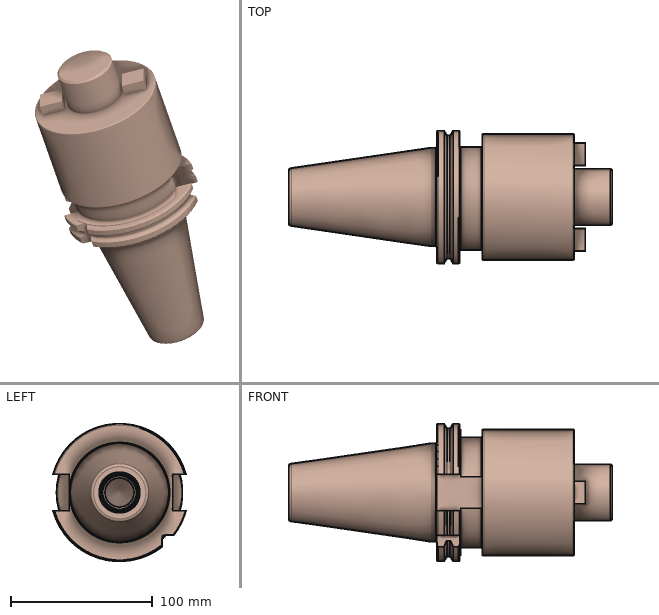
import cadquery as cq
import math

gauge_x = 101.0
relief_start = 102.5
flare_start = 103.8
flange_start = 104.7
flange_end = 120.7
shoulder_end = 121.5
body_start = 136.7
body_end = 201.6
total_length = 228.5

gauge_radius = 35.0
taper_rate = 7 / 24 / 2
small_end_radius = gauge_radius - gauge_x * taper_rate
flange_radius = 48.7
relief_radius = 34.7
flare_end_radius = 35.5
shoulder_radius = 44.3
neck_radius = 39.0
body_radius = 44.5
pilot_radius = 20.1

small_end_fillet = 2.0
flange_fillet = 1.0
body_fillet = 1.0
neck_flare = 0.7
pilot_chamfer = 1.4

groove_center = 113.0
groove_depth = 3.2
groove_floor_width = 2.7
groove_floor_fillet = 0.7
groove_half_angle = 30

slot_width = 25.5
slot_floor_back = 35.5
slot_floor_front = 37.5

notch_offset = 30.2
notch_fillet = 1.1

key_width = 16.0
key_length = 8.0
key_inner = 22.2
key_outer = 38.2

mouth_radius = 14.5
mouth_depth = 3.7
recess_radius = 13.7
recess_depth = 9.0
pilot_bore_radius = 12.8
pilot_bore_depth = 12.1
lead_in_radius = 12.0
lead_in_depth = 13.3
drill_radius = 10.3
drill_depth = 50.3
drill_half_angle = 59


def revolve_about_x(points):
    """Revolve a closed (x, radius) outline around the X axis."""
    outline = cq.Workplane("XY").polyline(points).close()
    return outline.revolve(360, (0, 0, 0), (1, 0, 0))


def box_between(x_range, y_range, z_range):
    """Box spanning the given (low, high) ranges."""
    lows, highs = zip(x_range, y_range, z_range)
    sizes = [high - low for low, high in zip(lows, highs)]
    return cq.Workplane("XY").box(*sizes, centered=False).translate(lows)


def make_taper():
    taper = revolve_about_x([
        (0, 0),
        (0, small_end_radius),
        (gauge_x, gauge_radius),
        (relief_start, gauge_radius),
        (flare_start, relief_radius),
        (flange_start, flare_end_radius),
        (flange_start, 0),
    ])
    return taper.faces("<X").edges().fillet(small_end_fillet)


def make_cylinder(x_start, x_end, radius):
    return cq.Workplane("YZ", origin=(x_start, 0, 0)).circle(radius).extrude(x_end - x_start)


def make_groove():
    floor_radius = flange_radius - groove_depth
    floor_half = groove_floor_width / 2
    mouth_half = floor_half + groove_depth * math.tan(math.radians(groove_half_angle))
    groove = revolve_about_x([
        (groove_center - floor_half, floor_radius),
        (groove_center - mouth_half, flange_radius),
        (groove_center + mouth_half, flange_radius),
        (groove_center + floor_half, floor_radius),
    ])
    floor_edges = groove.edges(cq.selectors.RadiusNthSelector(0))
    return floor_edges.fillet(groove_floor_fillet)


def make_notch():
    flange_range = (flange_start, flange_end)
    outward = (-flange_radius, -notch_offset)
    notch = box_between(flange_range, outward, outward)
    return notch.edges("|X and >Y and >Z").fillet(notch_fillet)


def make_flange():
    flange = make_cylinder(flange_start, flange_end, flange_radius).edges().fillet(flange_fillet)
    half_slot = slot_width / 2
    for y_range in ((slot_floor_back, flange_radius), (-flange_radius, -slot_floor_front)):
        slot = box_between((flange_start, flange_end), y_range, (-half_slot, half_slot))
        flange = flange.cut(slot)
    return flange.cut(make_groove()).cut(make_notch())


def make_neck():
    """Neck and low flange shoulder, with flats level with the slot floors."""
    shoulder = make_cylinder(flange_end, shoulder_end, shoulder_radius)
    neck_flare_start = body_start - neck_flare
    flare = revolve_about_x([
        (neck_flare_start, 0),
        (neck_flare_start, neck_radius),
        (body_start, neck_radius + neck_flare),
        (body_start, 0),
    ])
    neck = make_cylinder(flange_end, body_start, neck_radius).union(shoulder).union(flare)
    keep = box_between(
        (flange_end, body_start),
        (-slot_floor_front, slot_floor_back),
        (-shoulder_radius, shoulder_radius),
    )
    return neck.intersect(keep)


def make_keys():
    x_range = (body_end, body_end + key_length)
    z_range = (-key_width / 2, key_width / 2)
    key = box_between(x_range, (key_inner, key_outer), z_range)
    return key.union(key.mirror("XZ"))


def make_bore():
    drill_tip = drill_depth + drill_radius / math.tan(math.radians(drill_half_angle))
    return revolve_about_x([
        (0, 0),
        (0, mouth_radius),
        (mouth_depth, recess_radius),
        (recess_depth, recess_radius),
        (recess_depth, pilot_bore_radius),
        (pilot_bore_depth, pilot_bore_radius),
        (pilot_bore_depth, lead_in_radius),
        (lead_in_depth, drill_radius),
        (drill_depth, drill_radius),
        (drill_tip, 0),
    ])


body = make_cylinder(body_start, body_end, body_radius).edges().fillet(body_fillet)
pilot = make_cylinder(body_end, total_length, pilot_radius).faces(">X").edges().chamfer(pilot_chamfer)

result = make_taper()
for section in (make_flange(), make_neck(), body, pilot, make_keys()):
    result = result.union(section)
result = result.cut(make_bore())